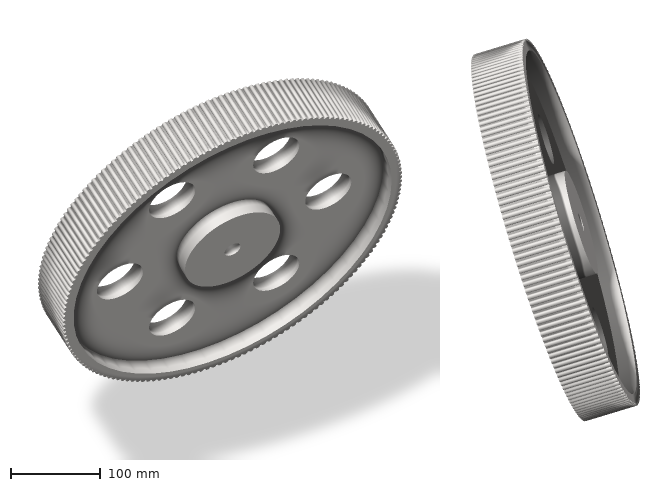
import cadquery as cq
import math

outer_diameter = 426.5
pulley_width = 60.0
rim_inner_diameter = 400.0
hub_diameter = 120.0
bore_diameter = 20.0
web_thickness = 20.0

window_diameter = 58.0
window_count = 6
window_circle_radius = 131.0

tooth_count = 168
tooth_radius = 2.77

recess_depth = (pulley_width - web_thickness) / 2


def cylinder(diameter, start_x, length):
    """Solid cylinder on the X axis, running from start_x toward +X."""
    return cq.Workplane("YZ", origin=(start_x, 0, 0)).circle(diameter / 2).extrude(length)


def toothed_blank():
    """Full-width disc whose edge is a row of round-topped teeth, one of them centred on the Y axis."""
    tip_radius = outer_diameter / 2
    floor_radius = tip_radius - tooth_radius
    half_tooth_angle = 2 * math.asin(tooth_radius / (2 * floor_radius))
    pitch_angle = 2 * math.pi / tooth_count

    def polar(radius, angle):
        return (radius * math.cos(angle), radius * math.sin(angle))

    outline = cq.Workplane("YZ", origin=(-pulley_width / 2, 0, 0))
    outline = outline.moveTo(*polar(floor_radius, -half_tooth_angle))
    for index in range(tooth_count):
        tooth_angle = index * pitch_angle
        floor_angle = tooth_angle + pitch_angle / 2
        next_tooth_angle = tooth_angle + pitch_angle
        outline = outline.threePointArc(
            polar(tip_radius, tooth_angle),
            polar(floor_radius, tooth_angle + half_tooth_angle),
        )
        outline = outline.threePointArc(
            polar(floor_radius, floor_angle),
            polar(floor_radius, next_tooth_angle - half_tooth_angle),
        )
    return outline.close().extrude(pulley_width)


def face_recess(start_x):
    """Ring-shaped pocket between rim and hub."""
    return cylinder(rim_inner_diameter, start_x, recess_depth).cut(
        cylinder(hub_diameter, start_x, recess_depth)
    )


def web_windows():
    """Ring of round holes through the web, the first one on the Y axis."""
    return (
        cq.Workplane("YZ", origin=(-web_thickness / 2, 0, 0))
        .polarArray(window_circle_radius, 0, 360, window_count)
        .circle(window_diameter / 2)
        .extrude(web_thickness)
    )


result = (
    toothed_blank()
    .cut(face_recess(-pulley_width / 2))
    .cut(face_recess(web_thickness / 2))
    .cut(web_windows())
    .cut(cylinder(bore_diameter, -pulley_width / 2, pulley_width))
)